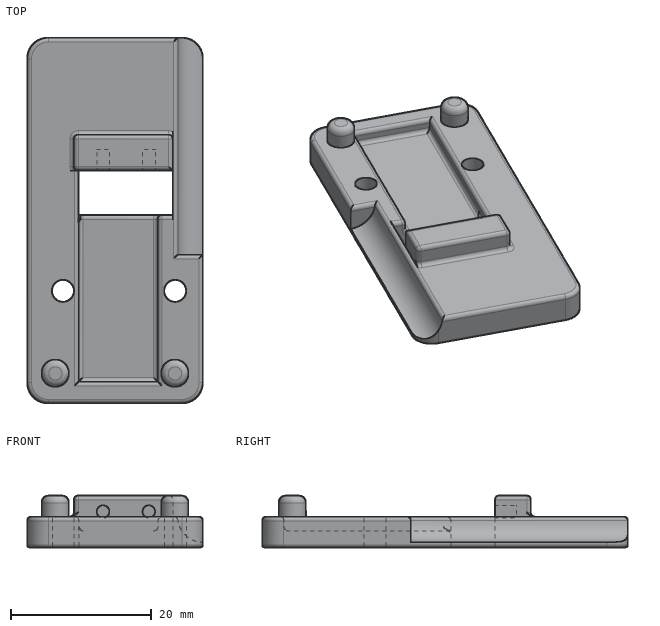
import cadquery as cq


LENGTH_X = 25.0
LENGTH_Y = 52.0
PLATE_TOP = 4.4
OVERALL_HEIGHT = 7.4
CORNER_RADIUS = 3.0
EDGE_RADIUS = 0.6
BOTTOM_EDGE_RADIUS = 0.4

TROUGH_RADIUS = 3.63
TROUGH_START_Y = 21.15

RECESS_LEFT = 7.33
RECESS_RIGHT = 18.57
RECESS_FRONT = 3.1
RECESS_DEPTH = 2.0
RECESS_FLOOR = PLATE_TOP - RECESS_DEPTH
WINDOW_RIGHT = 20.7
WINDOW_FRONT = 26.8
WINDOW_BACK = 33.1

BLOCK_LEFT = 6.65
BLOCK_BACK = 38.2
BLOCK_HOLE_DIAMETER = 1.8
BLOCK_HOLE_DEPTH = 3.0
BLOCK_HOLE_Z = 5.1
BLOCK_HOLE_X = (10.8, 17.3)

PIN_DIAMETER = 3.89
PIN_TIP_RADIUS = 1.0
PIN_CENTERS = ((4.0, 4.3), (21.0, 4.3))

SCREW_HOLE_DIAMETER = 3.1
SCREW_HOLE_CENTERS = ((5.1, 16.0), (21.05, 16.0))

TOLERANCE = 0.01


def box_between(low, high):
    """Axis-aligned box from its low corner to its high corner."""
    size = [b - a for a, b in zip(low, high)]
    return cq.Workplane("XY").box(*size, centered=False).translate(low)


def make_plate():
    """Plate with rounded upright corners and a rounded bottom edge."""
    plate = box_between((0, 0, 0), (LENGTH_X, LENGTH_Y, PLATE_TOP))
    plate = plate.edges("|Z").fillet(CORNER_RADIUS)
    return plate.faces("<Z").edges().fillet(BOTTOM_EDGE_RADIUS)


def make_trough():
    """Cylinder whose axis runs along the top right edge of the plate."""
    return (
        cq.Workplane("XZ", origin=(LENGTH_X, TROUGH_START_Y, PLATE_TOP))
        .circle(TROUGH_RADIUS)
        .extrude(-LENGTH_Y)
    )


def edges_at(part, low, high):
    """Edges of the part lying wholly inside the given region."""
    low = tuple(value - TOLERANCE for value in low)
    high = tuple(value + TOLERANCE for value in high)
    return part.edges(cq.selectors.BoxSelector(low, high, boundingbox=True))


def make_opening():
    """Recess with a rounded floor, joined to the window, as one tool to cut."""
    recess = box_between(
        (RECESS_LEFT, RECESS_FRONT, RECESS_FLOOR),
        (RECESS_RIGHT, WINDOW_BACK, OVERALL_HEIGHT),
    )
    recess = recess.edges("<Z and (not >Y)").fillet(EDGE_RADIUS)
    window = box_between(
        (RECESS_LEFT, WINDOW_FRONT, 0),
        (WINDOW_RIGHT, WINDOW_BACK, OVERALL_HEIGHT),
    )
    return recess.union(window)


def round_recess_mouth(part):
    """Round the upright corner at the window and the floor lip that runs on smoothly from it."""
    corner = (RECESS_RIGHT, WINDOW_FRONT)
    return edges_at(part, (*corner, RECESS_FLOOR), (*corner, PLATE_TOP)).fillet(EDGE_RADIUS)


def round_top_edges(part):
    """Round the top edges, leaving sharp the window sides next to the block and the trough."""
    def stays_sharp(edge):
        center = edge.Center()
        on_right = abs(center.x - WINDOW_RIGHT) < TOLERANCE
        on_back = abs(center.y - WINDOW_BACK) < TOLERANCE
        return on_right or on_back

    top = edges_at(part, (0, 0, PLATE_TOP), (LENGTH_X, LENGTH_Y, PLATE_TOP))
    rounded = [edge for edge in top.vals() if not stays_sharp(edge)]
    return part.newObject(rounded).fillet(EDGE_RADIUS)


def make_block():
    """Rounded block with a concave foot, trimmed flush with the window walls."""
    block = box_between(
        (BLOCK_LEFT, WINDOW_BACK, 0),
        (WINDOW_RIGHT, BLOCK_BACK, OVERALL_HEIGHT),
    )
    block = block.edges("|Z and (not (>X and <Y))").fillet(EDGE_RADIUS)
    block = block.faces(">Z").edges().fillet(EDGE_RADIUS)

    reach = 2 * EDGE_RADIUS
    slab = box_between(
        (BLOCK_LEFT - reach, WINDOW_BACK - reach, 0),
        (WINDOW_RIGHT + reach, BLOCK_BACK + reach, PLATE_TOP),
    )
    block = block.union(slab)
    foot = edges_at(
        block,
        (BLOCK_LEFT, WINDOW_BACK, PLATE_TOP),
        (WINDOW_RIGHT, BLOCK_BACK, PLATE_TOP),
    )
    block = block.newObject(foot.vals()).fillet(EDGE_RADIUS)
    trim = box_between(
        (BLOCK_LEFT - reach, WINDOW_BACK, PLATE_TOP),
        (WINDOW_RIGHT, BLOCK_BACK + reach, OVERALL_HEIGHT),
    )
    return block.intersect(trim)


def make_block_holes():
    """Blind holes in the block face that looks over the window."""
    centers = [(x, BLOCK_HOLE_Z) for x in BLOCK_HOLE_X]
    return (
        cq.Workplane("XZ", origin=(0, WINDOW_BACK, 0))
        .pushPoints(centers)
        .circle(BLOCK_HOLE_DIAMETER / 2)
        .extrude(-BLOCK_HOLE_DEPTH)
    )


def make_pins():
    """Pins with rounded tips, rooted inside the plate."""
    pins = (
        cq.Workplane("XY", origin=(0, 0, RECESS_FLOOR))
        .pushPoints(PIN_CENTERS)
        .circle(PIN_DIAMETER / 2)
        .extrude(OVERALL_HEIGHT - RECESS_FLOOR)
    )
    return pins.faces(">Z").edges().fillet(PIN_TIP_RADIUS)


def make_screw_holes():
    """Cylinders that cut the holes right through the plate."""
    return (
        cq.Workplane("XY")
        .pushPoints(SCREW_HOLE_CENTERS)
        .circle(SCREW_HOLE_DIAMETER / 2)
        .extrude(PLATE_TOP)
    )


part = make_plate().cut(make_trough()).cut(make_opening())
part = round_recess_mouth(part)
part = round_top_edges(part)
part = part.union(make_block()).cut(make_block_holes())
result = part.union(make_pins()).cut(make_screw_holes())